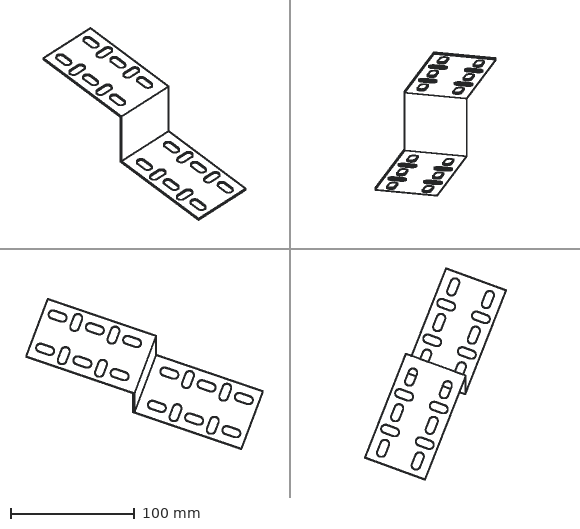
import cadquery as cq

length = 185.0
width = 52.0
height = 51.5
thickness = 1.5

slot_length = 15.0
slot_width = 7.0
row_spacing = 30.0
end_slot_spacing = 160.0
slots_per_flange = 5
slot_pitch = end_slot_spacing / (2 * slots_per_flange)


def plate(size_x, size_z, center_x, center_z):
    """Full-width plate, centred on the given X and Z."""
    return cq.Workplane("XY").box(size_x, width, size_z).translate((center_x, 0, center_z))


def slot_cutters(points, angle):
    """Slots through the full height at the given centres, turned by angle from X."""
    return (
        cq.Workplane("XY")
        .pushPoints(points)
        .slot2D(slot_length, slot_width, angle)
        .extrude(height, both=True)
    )


flange_length = (length + thickness) / 2
flange_x = (length - flange_length) / 2
flange_z = (height - thickness) / 2

web = plate(thickness, height, 0, 0)
upper_flange = plate(flange_length, thickness, -flange_x, flange_z)
lower_flange = plate(flange_length, thickness, flange_x, -flange_z)
body = web.union(upper_flange).union(lower_flange)

lengthwise_points = []
crosswise_points = []
for number in range(1, slots_per_flange + 1):
    points = lengthwise_points if number % 2 == 1 else crosswise_points
    for flange_side in (-1, 1):
        for row_side in (-1, 1):
            points.append((flange_side * number * slot_pitch, row_side * row_spacing / 2))

result = body.cut(slot_cutters(lengthwise_points, 0)).cut(slot_cutters(crosswise_points, 90))